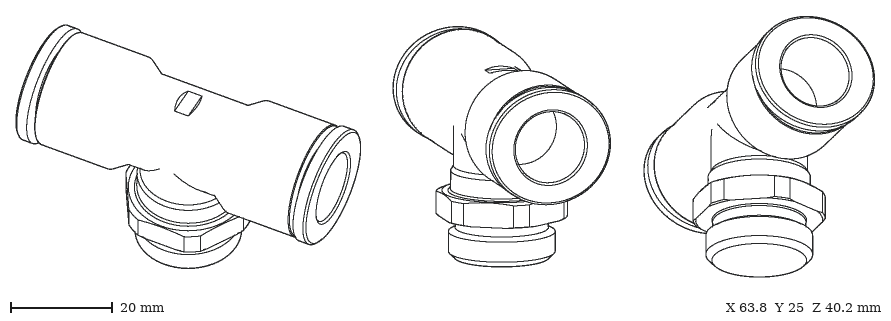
import cadquery as cq
import math


HALF_LENGTH = 31.9
WAIST_RADIUS = 9.5
SOCKET_RADIUS = 11.75
WAIST_END = 9.8
SOCKET_START = 13.1
SOCKET_END = 28.0
SOCKET_EDGE_CHAMFER = 0.2
CONE_BLEND_RADIUS = 0.95
PICK_MARGIN = 0.05

COLLAR_NECK_RADIUS = 8.55
FLANGE_THICKNESS = 2.6
FLANGE_WIDTH = 25.0
FLANGE_HEIGHT = 23.1
FLANGE_CHAMFER = 0.45

BORE_RADIUS = 7.15
BORE_MOUTH_CHAMFER = 0.45
BORE_DEPTH = HALF_LENGTH - SOCKET_START

RECESS_FLOOR_LENGTH = 3.0
RECESS_WIDTH = 6.0
RECESS_WALL_ANGLE = 52.0

SLEEVE_RADIUS = 10.1
SLEEVE_CONE_TOP = 10.0
SLEEVE_TOP = 11.0
SWIVEL_JOINT = 12.9
SWIVEL_FOOT = 14.6
SWIVEL_FOOT_RADIUS = 10.15
SWIVEL_FLARE_RADIUS = 10.6
HEX_TOP = 15.0
HEX_BOTTOM = 20.05
UNDERCUT_RADIUS = 9.2
UNDERCUT_ROOT_RADIUS = 9.3
UNDERCUT_TOP = 20.4
UNDERCUT_BOTTOM = 22.45
THREAD_RADIUS = 10.5
THREAD_TOP = 23.2
THREAD_END = 28.45
THREAD_CHAMFER = 1.2

HEX_ACROSS_FLATS = 24.0
HEX_CORNER_RADIUS = 13.0
HEX_TOP_FACE_RADIUS = 11.8
HEX_TOP_BEVEL = 0.45
HEX_BOTTOM_FACE_RADIUS = 12.5
HEX_BOTTOM_BEVEL = 0.2


def turned_about_z(rings):
    """Solid of revolution about Z through (radius, depth below the run axis) points."""
    outline = [(radius, -depth) for radius, depth in rings]
    start = (0, outline[0][1])
    end = (0, outline[-1][1])
    return cq.Workplane("XZ").polyline([start] + outline + [end]).close().revolve(360, (0, 0), (0, 1))


def run_body():
    """Waist with a cone stepping up to a cylindrical socket at each end."""
    half_outline = [
        (WAIST_END, WAIST_RADIUS),
        (SOCKET_START, SOCKET_RADIUS),
        (SOCKET_END - SOCKET_EDGE_CHAMFER, SOCKET_RADIUS),
        (SOCKET_END, SOCKET_RADIUS - SOCKET_EDGE_CHAMFER),
        (SOCKET_END, 0),
    ]
    mirrored = [(-x, radius) for x, radius in reversed(half_outline)]
    body = cq.Workplane("XY").polyline(mirrored + half_outline).close().revolve(360, (0, 0), (1, 0))
    for side in (-1, 1):
        for x, radius in half_outline[:2]:
            cone_edge = cq.selectors.BoxSelector(
                (side * x - PICK_MARGIN, -radius - PICK_MARGIN, -radius - PICK_MARGIN),
                (side * x + PICK_MARGIN, radius + PICK_MARGIN, radius + PICK_MARGIN),
                boundingbox=True,
            )
            body = body.edges(cone_edge).fillet(CONE_BLEND_RADIUS)
    return body


def left_collar():
    """Round neck carrying an oval flange, at the -X end."""
    flange = (
        cq.Workplane("YZ", origin=(-HALF_LENGTH, 0, 0))
        .ellipse(FLANGE_WIDTH / 2, FLANGE_HEIGHT / 2)
        .extrude(FLANGE_THICKNESS)
        .faces("<X")
        .chamfer(FLANGE_CHAMFER)
    )
    neck_length = HALF_LENGTH - SOCKET_START - FLANGE_THICKNESS
    neck = cq.Workplane("YZ", origin=(-SOCKET_START, 0, 0)).circle(COLLAR_NECK_RADIUS).extrude(-neck_length)
    return flange.union(neck)


def left_bore():
    """Blind tube socket with a bevelled mouth, entering from the -X end."""
    floor = BORE_DEPTH - HALF_LENGTH
    outline = [
        (-HALF_LENGTH, 0),
        (-HALF_LENGTH, BORE_RADIUS + BORE_MOUTH_CHAMFER),
        (BORE_MOUTH_CHAMFER - HALF_LENGTH, BORE_RADIUS),
        (floor, BORE_RADIUS),
        (floor, 0),
    ]
    return cq.Workplane("XY").polyline(outline).close().revolve(360, (0, 0), (1, 0))


def branch():
    """Turned branch from the run axis to the thread end."""
    return turned_about_z([
        (WAIST_RADIUS, 0),
        (WAIST_RADIUS, SLEEVE_CONE_TOP),
        (SLEEVE_RADIUS, SLEEVE_TOP),
        (SLEEVE_RADIUS, SWIVEL_JOINT),
        (SWIVEL_FOOT_RADIUS, SWIVEL_FOOT),
        (SWIVEL_FLARE_RADIUS, HEX_TOP),
        (UNDERCUT_ROOT_RADIUS, HEX_BOTTOM),
        (UNDERCUT_RADIUS, UNDERCUT_TOP),
        (UNDERCUT_RADIUS, UNDERCUT_BOTTOM),
        (THREAD_RADIUS, THREAD_TOP),
        (THREAD_RADIUS, THREAD_END - THREAD_CHAMFER),
        (THREAD_RADIUS - THREAD_CHAMFER, THREAD_END),
    ])


def hexagon():
    """Hexagon with flats facing +Y and -Y, its corners turned and bevelled."""
    across_corners = HEX_ACROSS_FLATS / math.cos(math.radians(30))
    prism = cq.Workplane("XY", origin=(0, 0, -HEX_BOTTOM)).polygon(6, across_corners).extrude(HEX_BOTTOM - HEX_TOP)
    turned_blank = turned_about_z([
        (HEX_TOP_FACE_RADIUS, HEX_TOP),
        (HEX_CORNER_RADIUS, HEX_TOP + HEX_TOP_BEVEL),
        (HEX_CORNER_RADIUS, HEX_BOTTOM - HEX_BOTTOM_BEVEL),
        (HEX_BOTTOM_FACE_RADIUS, HEX_BOTTOM),
    ])
    return prism.intersect(turned_blank)


def top_recess():
    """Flat-floored cut with sloping end walls, whose floor runs out on the waist at both sides."""
    floor = math.sqrt(WAIST_RADIUS**2 - (RECESS_WIDTH / 2) ** 2)
    height = WAIST_RADIUS - floor
    half_floor = RECESS_FLOOR_LENGTH / 2
    half_top = half_floor + height * math.tan(math.radians(RECESS_WALL_ANGLE))
    outline = [
        (-half_floor, floor),
        (half_floor, floor),
        (half_top, WAIST_RADIUS),
        (-half_top, WAIST_RADIUS),
    ]
    return cq.Workplane("XZ").polyline(outline).close().extrude(RECESS_WIDTH, both=True)


collar = left_collar()
bore = left_bore()

result = (
    run_body()
    .union(branch())
    .union(hexagon())
    .union(collar)
    .union(collar.mirror("YZ"))
    .cut(bore)
    .cut(bore.mirror("YZ"))
    .cut(top_recess())
)